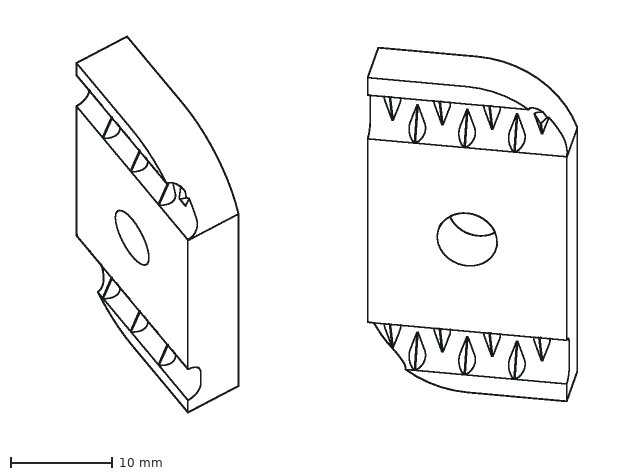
import cadquery as cq
import math

width = 20.0
thickness = 6.0
height = 35.0
corner_radius = 10.6
bore_diameter = 6.0

groove_margin = 2.0
groove_depth = 1.5
groove_floor = 2.0
groove_width = groove_floor + 2 * groove_depth

tooth_pitch = 5.0
tooth_run = groove_depth + groove_floor
crest_width = 0.1
flank_angle = 38.0
upper_tooth_start = -7.75
upper_tooth_count = 4
lower_tooth_count = 3
lower_tooth_start = upper_tooth_start + tooth_pitch / 2

cone_drop = 3.88
cone_radius = 1.0

front_y = -thickness / 2
floor_y = front_y + groove_depth
half_width = width / 2
half_height = height / 2


def make_plate():
    """Plate with rounded upper +X and lower -X corners and a central bore."""
    arc_center_z = half_height - corner_radius
    arc_end_z = arc_center_z + math.sqrt(corner_radius**2 - half_width**2)
    mid_angle = (math.pi / 2 + math.atan2(arc_end_z - arc_center_z, half_width)) / 2
    mid_x = corner_radius * math.cos(mid_angle)
    mid_z = arc_center_z + corner_radius * math.sin(mid_angle)
    return (
        cq.Workplane("XZ", origin=(0, thickness / 2, 0))
        .moveTo(-half_width, half_height)
        .lineTo(0, half_height)
        .threePointArc((mid_x, mid_z), (half_width, arc_end_z))
        .lineTo(half_width, -half_height)
        .lineTo(0, -half_height)
        .threePointArc((-mid_x, -mid_z), (-half_width, -arc_end_z))
        .close()
        .extrude(thickness)
        .cut(cq.Workplane("XZ").circle(bore_diameter / 2).extrude(thickness, both=True))
    )


def make_groove(top_z):
    """Full-width groove body with quarter-round sides, its upper edge at top_z."""
    bottom_z = top_z - groove_width
    side = groove_depth * math.sqrt(0.5)
    return (
        cq.Workplane("YZ", origin=(-half_width, 0, 0))
        .moveTo(front_y, top_z)
        .threePointArc((front_y + side, top_z - groove_depth + side), (floor_y, top_z - groove_depth))
        .lineTo(floor_y, bottom_z + groove_depth)
        .threePointArc((front_y + side, bottom_z + groove_depth - side), (front_y, bottom_z))
        .close()
        .extrude(width)
    )


def make_tooth(x, edge_z, direction):
    """Ridge sloping from the front face at edge_z to the floor; direction is its Z sense."""
    crest_half = crest_width / 2
    base_half = crest_half + groove_depth * math.tan(math.radians(flank_angle))
    toe_z = edge_z + direction * tooth_run
    vertices = [
        (x - base_half, floor_y, edge_z),
        (x + base_half, floor_y, edge_z),
        (x + crest_half, front_y, edge_z),
        (x - crest_half, front_y, edge_z),
        (x - crest_half, floor_y, toe_z),
        (x + crest_half, floor_y, toe_z),
    ]
    faces = [(0, 1, 2, 3), (0, 1, 5, 4), (3, 2, 5, 4), (0, 3, 4), (1, 2, 5)]
    sides = []
    for face in faces:
        outline = cq.Wire.makePolygon([cq.Vector(*vertices[i]) for i in face], close=True)
        sides.append(cq.Face.makeFromWires(outline))
    return cq.Workplane(cq.Solid.makeSolid(cq.Shell.makeShell(sides)))


def truncate_corner_tooth(tooth, x, edge_z):
    """Replace the high end of a downward-sloping tooth by a cone that peaks on its crest."""
    axis_z = half_height - cone_drop
    peak_y = front_y + groove_depth * (edge_z - axis_z) / tooth_run
    cone = cq.Solid.makeCone(
        cone_radius,
        crest_width / 2,
        floor_y - peak_y,
        pnt=cq.Vector(x, floor_y, axis_z),
        dir=cq.Vector(0, -1, 0),
    )
    below_axis = cq.Workplane("XY", origin=(x, 0, axis_z))
    lower_part = below_axis.rect(tooth_pitch, thickness).extrude(-groove_width)
    return tooth.intersect(lower_part.union(cq.Workplane(cone)))


def make_serration(top_z, truncate_last_tooth):
    """Volume removed by one groove, leaving two interleaved rows of teeth."""
    serration = make_groove(top_z)
    for i in range(upper_tooth_count):
        x = upper_tooth_start + i * tooth_pitch
        tooth = make_tooth(x, top_z, -1)
        if truncate_last_tooth and i == upper_tooth_count - 1:
            tooth = truncate_corner_tooth(tooth, x, top_z)
        serration = serration.cut(tooth)
    for i in range(lower_tooth_count):
        x = lower_tooth_start + i * tooth_pitch
        serration = serration.cut(make_tooth(x, top_z - groove_width, 1))
    return serration


upper_groove_top = half_height - groove_margin
lower_groove_top = -half_height + groove_margin + groove_width

result = (
    make_plate()
    .cut(make_serration(upper_groove_top, truncate_last_tooth=True))
    .cut(make_serration(lower_groove_top, truncate_last_tooth=False))
)